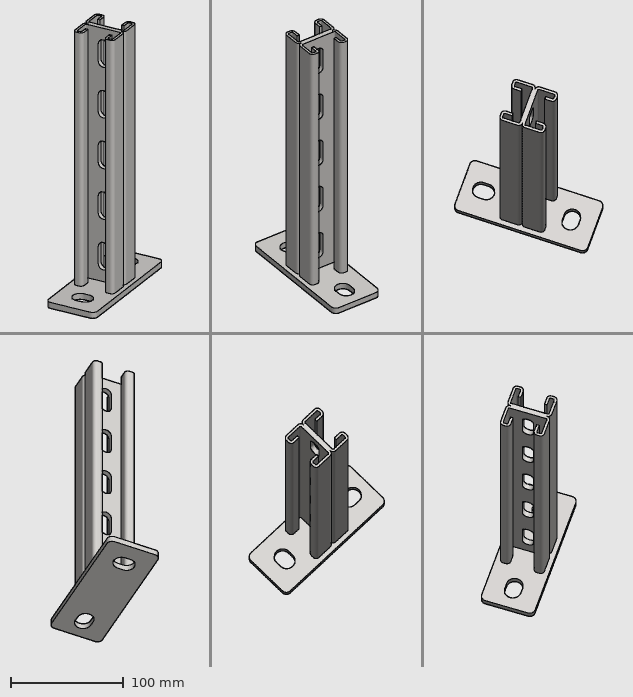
import cadquery as cq

PLATE_WIDTH = 50.0
PLATE_LENGTH = 125.0
PLATE_THICKNESS = 6.0
PLATE_CORNER_RADIUS = 5.0

FIXING_SLOT_LENGTH = 20.0
FIXING_SLOT_WIDTH = 15.0
LENGTHWISE_SLOT_Y = 42.5
CROSSWISE_SLOT_Y = -40.0

POST_HEIGHT = 250.0
CHANNEL_WIDTH = 41.0
CHANNEL_DEPTH = 21.0
SHEET_THICKNESS = 2.5
FLANGE_WIDTH = 9.5
LIP_DEPTH = 10.0
OUTER_BEND_RADIUS = 3.5
INNER_BEND_RADIUS = OUTER_BEND_RADIUS - SHEET_THICKNESS

POST_SLOT_COUNT = 5
POST_SLOT_PITCH = POST_HEIGHT / POST_SLOT_COUNT
POST_SLOT_LENGTH = 27.0
POST_SLOT_WIDTH = 10.5


def make_plate():
    plate = (
        cq.Workplane("XY")
        .rect(PLATE_WIDTH, PLATE_LENGTH)
        .extrude(PLATE_THICKNESS)
        .edges("|Z")
        .fillet(PLATE_CORNER_RADIUS)
    )
    for slot_y, angle in ((LENGTHWISE_SLOT_Y, 90), (CROSSWISE_SLOT_Y, 0)):
        slot = (
            cq.Workplane("XY")
            .center(0, slot_y)
            .slot2D(FIXING_SLOT_LENGTH, FIXING_SLOT_WIDTH, angle)
            .extrude(PLATE_THICKNESS)
        )
        plate = plate.cut(slot)
    return plate


def fillet_upright_edges(body, corners, radius):
    """Round the upright post edges that stand at the given (x, y) corners."""
    mid_height = PLATE_THICKNESS + POST_HEIGHT / 2
    for x, y in corners:
        nearest = cq.selectors.NearestToPointSelector((x, y, mid_height))
        body = body.edges("|Z").edges(nearest).fillet(radius)
    return body


def make_half_channel():
    """The +X half of a channel, with its back on Y = 0 and its opening toward +Y."""
    outer_x = CHANNEL_WIDTH / 2
    inner_x = outer_x - SHEET_THICKNESS
    lip_front_x = outer_x - FLANGE_WIDTH
    lip_back_x = lip_front_x + SHEET_THICKNESS
    lip_end_y = CHANNEL_DEPTH - LIP_DEPTH
    flange_inner_y = CHANNEL_DEPTH - SHEET_THICKNESS

    outer_corners = [(outer_x, 0), (outer_x, CHANNEL_DEPTH), (lip_front_x, CHANNEL_DEPTH)]
    lip_end = [(lip_front_x, lip_end_y), (lip_back_x, lip_end_y)]
    inner_corners = [(lip_back_x, flange_inner_y), (inner_x, flange_inner_y), (inner_x, SHEET_THICKNESS)]
    outline = [(0, 0)] + outer_corners + lip_end + inner_corners + [(0, SHEET_THICKNESS)]

    half = cq.Workplane("XY", origin=(0, 0, PLATE_THICKNESS)).polyline(outline).close().extrude(POST_HEIGHT)
    half = fillet_upright_edges(half, outer_corners, OUTER_BEND_RADIUS)
    return fillet_upright_edges(half, inner_corners, INNER_BEND_RADIUS)


def make_post():
    half = make_half_channel()
    channel = half.union(half.mirror("YZ"))
    post = channel.union(channel.mirror("XZ"))
    slots = (
        cq.Workplane("XZ", origin=(0, 0, PLATE_THICKNESS + POST_HEIGHT / 2))
        .rarray(1, POST_SLOT_PITCH, 1, POST_SLOT_COUNT)
        .slot2D(POST_SLOT_LENGTH, POST_SLOT_WIDTH, 90)
        .extrude(SHEET_THICKNESS, both=True)
    )
    return post.cut(slots)


result = make_plate().union(make_post())